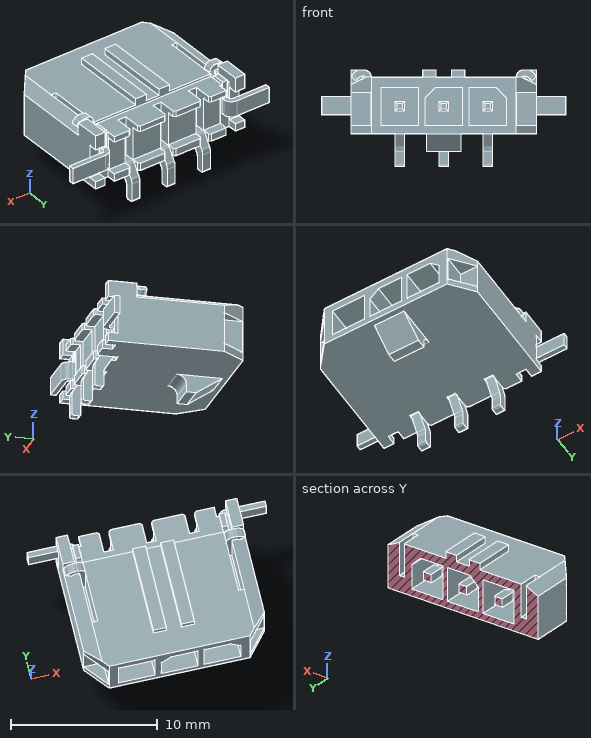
import cadquery as cq
import math


overall_width = 16.65
overall_depth = 10.0
housing_width = 12.65
housing_depth = 9.89
housing_height = 3.86
rail_top = 4.36
pin_drop = 2.21

corner_width = 1.4
corner_depth = 1.7
bevel_width = 1.0
bevel_drop = 0.52
pocket_width = 1.37
pocket_bottom = 0.58
pocket_top = 2.81

step_y = 7.88
step_top = 3.66
ear_width = 0.8
back_wall_y = 9.22
lower_plate_top = 0.6
upper_plate_bottom = 3.21
finger_half_width = 4.75
side_gap_y = 9.17

rail_width = 0.92
rail_offset = 0.98

pin_pitch = 3.0
pin_count = 3
cavity_size = 2.56
cavity_bottom = 0.58
cavity_depth = 7.16
key_chamfer = 0.7

pin_size = 0.67
pin_z = 1.88
pin_tip_y = 3.33
pin_tip_size = 0.35
pin_taper = 0.5
slot_y = 8.39
slot_mouth_width = 0.15
slot_mouth_depth = 0.13
leg_thickness = 0.62
leg_end_round = 0.13
tail_top = 0.57
leg_outer_radius = 0.67
leg_inner_radius = 0.55
slot_bend_radius = 0.2

latch_width = 2.38
latch_drop = 1.22
latch_front_y = 0.45
latch_toe_y = 2.3
latch_heel_y = 3.0
latch_fillet = 0.65

nail_thickness = 0.4
nail_inner_x = 4.93
nail_bottom = 1.3
nail_foot_top = 2.55
nail_top = 3.91
nail_bend_radius = 0.63
nail_slot_y = 3.45
nail_plate_y = back_wall_y
hook_front_y = 7.13
hook_width = 0.62
hook_thickness = 0.45
hook_bend_radius = 0.52
hook_knee_radius = 0.48
hook_knee_x = 5.9
hook_end_run = 0.42
hook_corner_round = 0.15
relief_radius = 0.25

half_width = housing_width / 2
pin_positions = [(i - (pin_count - 1) / 2) * pin_pitch for i in range(pin_count)]


def block(x0, x1, y0, y1, z0, z1):
    """Axis-aligned block between the given limits."""
    return cq.Workplane("XY").box(x1 - x0, y1 - y0, z1 - z0, centered=False).translate((x0, y0, z0))


def both_sides(right_half):
    """A solid on the +X side together with its mirror image on the -X side."""
    return right_half.union(right_half.mirror("YZ"))


def side_profile(x_center, width):
    """Workplane with local axes Y and Z, placed for an extrusion of the given width about x_center."""
    return cq.Workplane("YZ", origin=(x_center - width / 2, 0, 0))


def edge_at(x, y, z):
    """Selector for the edge whose middle is nearest to a point."""
    return cq.selectors.NearestToPointSelector((x, y, z))


def housing_shell():
    """Outer housing with cut front corners, beveled sides, raised ears and a stepped, notched rear."""
    front_half = half_width - corner_width
    shell = (
        cq.Workplane("XY")
        .moveTo(front_half, 0)
        .lineTo(half_width, corner_depth)
        .lineTo(half_width, housing_depth)
        .lineTo(-half_width, housing_depth)
        .lineTo(-half_width, corner_depth)
        .lineTo(-front_half, 0)
        .close()
        .extrude(housing_height)
    )
    bevel = (
        cq.Workplane("XZ")
        .moveTo(half_width - bevel_width, housing_height)
        .lineTo(half_width, housing_height)
        .lineTo(half_width, housing_height - bevel_drop)
        .close()
        .extrude(-step_y)
    )
    pocket = block(half_width - pocket_width, half_width, 0, corner_depth, pocket_bottom, pocket_top)
    shell = shell.cut(both_sides(bevel)).cut(both_sides(pocket))

    ear_x = half_width - ear_width
    step = block(-ear_x, ear_x, step_y, housing_depth, step_top, housing_height)
    ear = block(ear_x, half_width, step_y, housing_depth, step_top, rail_top)
    notch = block(-half_width, half_width, back_wall_y, housing_depth, lower_plate_top, upper_plate_bottom)
    side_gap = block(finger_half_width, ear_x, side_gap_y, housing_depth, 0, step_top)
    return shell.cut(step).union(both_sides(ear)).cut(notch).cut(both_sides(side_gap))


def rails():
    """Two keying rails along the top."""
    rail = block(rail_offset - rail_width / 2, rail_offset + rail_width / 2,
                 corner_depth, step_y, step_top, rail_top)
    return both_sides(rail)


def cavity(x_center, keyed_edges):
    """Square cavity open to the front, with the selected long edges chamfered as a key."""
    opening = block(x_center - cavity_size / 2, x_center + cavity_size / 2, 0, cavity_depth,
                    cavity_bottom, cavity_bottom + cavity_size)
    if keyed_edges:
        opening = opening.edges("|Y").edges(keyed_edges).chamfer(key_chamfer)
    return opening


def pin_slot(x_center):
    """Full-height slot in the rear with a flared mouth, taking one pin tail."""
    half_slot = pin_size / 2
    half_mouth = half_slot + slot_mouth_width
    slot = block(x_center - half_slot, x_center + half_slot, slot_y, housing_depth, 0, step_top)
    mouth = (
        cq.Workplane("XY")
        .moveTo(x_center - half_slot, housing_depth - slot_mouth_depth)
        .lineTo(x_center + half_slot, housing_depth - slot_mouth_depth)
        .lineTo(x_center + half_mouth, housing_depth)
        .lineTo(x_center - half_mouth, housing_depth)
        .close()
        .extrude(step_top)
    )
    return slot.union(mouth)


def pin_contact(x_center):
    """Straight contact with a tapered tip, standing in the cavity."""
    shaft_y = pin_tip_y + pin_taper
    half_pin = pin_size / 2
    shaft = block(x_center - half_pin, x_center + half_pin, shaft_y, step_y,
                  pin_z - half_pin, pin_z + half_pin)
    tip = (
        cq.Workplane("XZ", origin=(x_center, pin_tip_y, pin_z))
        .rect(pin_tip_size, pin_tip_size)
        .workplane(offset=-pin_taper)
        .rect(pin_size, pin_size)
        .loft(ruled=True)
    )
    return shaft.union(tip)


def pin_tail(x_center):
    """Tail leaving the slot, sloping down and ending in a vertical solder leg."""
    slope = 1.5
    outer_y = overall_depth
    inner_y = overall_depth - leg_thickness
    outer_exit_y = 9.65
    inner_exit_y = 8.7
    tail_bottom = 0.2
    upper_bend_y = outer_exit_y - tail_top / slope
    outer_bend_z = -(outer_y - outer_exit_y) * slope
    inner_bend_z = -(inner_y - inner_exit_y) * slope
    tail = (
        side_profile(x_center, pin_size)
        .moveTo(slot_y, tail_top)
        .lineTo(upper_bend_y, tail_top)
        .lineTo(outer_y, outer_bend_z)
        .lineTo(outer_y, -pin_drop)
        .lineTo(inner_y, -pin_drop)
        .lineTo(inner_y, inner_bend_z)
        .lineTo(inner_exit_y - tail_bottom / slope, tail_bottom)
        .lineTo(slot_y, tail_bottom)
        .close()
        .extrude(pin_size)
    )
    tail = tail.edges(edge_at(x_center, upper_bend_y, tail_top)).fillet(slot_bend_radius)
    tail = tail.edges(edge_at(x_center, outer_y, outer_bend_z)).fillet(leg_outer_radius)
    tail = tail.edges(edge_at(x_center, inner_y, inner_bend_z)).fillet(leg_inner_radius)
    return tail.faces("<Z").edges("|X").fillet(leg_end_round)


def latch():
    """Hooked board latch with a ramped front and a filleted heel."""
    fillet_start_y = latch_heel_y + latch_fillet
    mid = latch_fillet * math.sqrt(0.5)
    return (
        side_profile(0, latch_width)
        .moveTo(latch_front_y, 0)
        .lineTo(latch_toe_y, -latch_drop)
        .lineTo(latch_heel_y, -latch_drop)
        .lineTo(latch_heel_y, -latch_fillet)
        .threePointArc((fillet_start_y - mid, -latch_fillet + mid), (fillet_start_y, 0))
        .close()
        .extrude(latch_width)
    )


def nail_slot():
    """Slot in the housing that takes the +X solder nail, open to the top and the rear."""
    return block(nail_inner_x, nail_inner_x + nail_thickness, nail_slot_y, back_wall_y,
                 nail_bottom, housing_height)


def nail_foot():
    """Solder foot and its rounded bend into the nail plate, in plan."""
    inner_radius = nail_bend_radius - nail_thickness
    outer_x = nail_inner_x + nail_thickness
    center_x = nail_inner_x + nail_bend_radius
    center_y = overall_depth - nail_bend_radius
    diagonal = math.sqrt(0.5)
    return (
        cq.Workplane("XY", origin=(0, 0, nail_bottom))
        .moveTo(nail_inner_x, nail_plate_y)
        .lineTo(nail_inner_x, center_y)
        .threePointArc(
            (center_x - nail_bend_radius * diagonal, center_y + nail_bend_radius * diagonal),
            (center_x, overall_depth),
        )
        .lineTo(overall_width / 2, overall_depth)
        .lineTo(overall_width / 2, overall_depth - nail_thickness)
        .lineTo(center_x, overall_depth - nail_thickness)
        .threePointArc(
            (center_x - inner_radius * diagonal, center_y + inner_radius * diagonal),
            (outer_x, center_y),
        )
        .lineTo(outer_x, nail_plate_y)
        .close()
        .extrude(nail_foot_top - nail_bottom)
    )


def nail_plate():
    """Upright plate with a round relief just behind the hook."""
    plate = block(nail_inner_x, nail_inner_x + nail_thickness, hook_front_y, nail_plate_y,
                  nail_bottom, nail_top)
    relief = (
        side_profile(nail_inner_x + nail_thickness / 2, nail_thickness)
        .center(hook_front_y + hook_width + relief_radius, nail_top)
        .circle(relief_radius)
        .extrude(nail_thickness)
    )
    return plate.cut(relief)


def nail_hook():
    """Tongue rising from the plate, rolled outward and bent down at 45 degrees."""
    diagonal = math.sqrt(0.5)
    inner_radius = hook_bend_radius - hook_thickness
    outer_x = nail_inner_x + hook_thickness
    center_x = nail_inner_x + hook_bend_radius
    center_z = rail_top - hook_bend_radius
    end_x = hook_knee_x + hook_end_run
    end_z = rail_top - hook_end_run
    end_step = hook_thickness * diagonal
    inner_knee_x = hook_knee_x - hook_thickness * math.tan(math.pi / 8)
    hook = (
        cq.Workplane("XZ", origin=(0, hook_front_y, 0))
        .moveTo(nail_inner_x, nail_bottom)
        .lineTo(nail_inner_x, center_z)
        .threePointArc(
            (center_x - hook_bend_radius * diagonal, center_z + hook_bend_radius * diagonal),
            (center_x, rail_top),
        )
        .lineTo(hook_knee_x, rail_top)
        .lineTo(end_x, end_z)
        .lineTo(end_x - end_step, end_z - end_step)
        .lineTo(inner_knee_x, rail_top - hook_thickness)
        .lineTo(center_x, rail_top - hook_thickness)
        .threePointArc(
            (center_x - inner_radius * diagonal, center_z + inner_radius * diagonal),
            (outer_x, center_z),
        )
        .lineTo(outer_x, nail_bottom)
        .close()
        .extrude(-hook_width)
    )
    hook_mid_y = hook_front_y + hook_width / 2
    inner_knee_radius = hook_knee_radius - hook_thickness
    hook = hook.edges(edge_at(hook_knee_x, hook_mid_y, rail_top)).fillet(hook_knee_radius)
    hook = hook.edges(edge_at(inner_knee_x, hook_mid_y, rail_top - hook_thickness)).fillet(inner_knee_radius)
    end_corners = cq.selectors.ParallelDirSelector(cq.Vector(1, 0, 1))
    return hook.edges(end_corners).fillet(hook_corner_round)


housing = housing_shell().union(rails()).union(latch()).cut(both_sides(nail_slot()))
key_edges = [None, ">Z and <X", ">Z and >X"]
for pin_x, keyed in zip(pin_positions, key_edges):
    housing = housing.cut(cavity(pin_x, keyed)).cut(pin_slot(pin_x))
for pin_x in pin_positions:
    housing = housing.union(pin_contact(pin_x)).union(pin_tail(pin_x))

nail = nail_foot().union(nail_plate()).union(nail_hook())
result = housing.union(both_sides(nail))